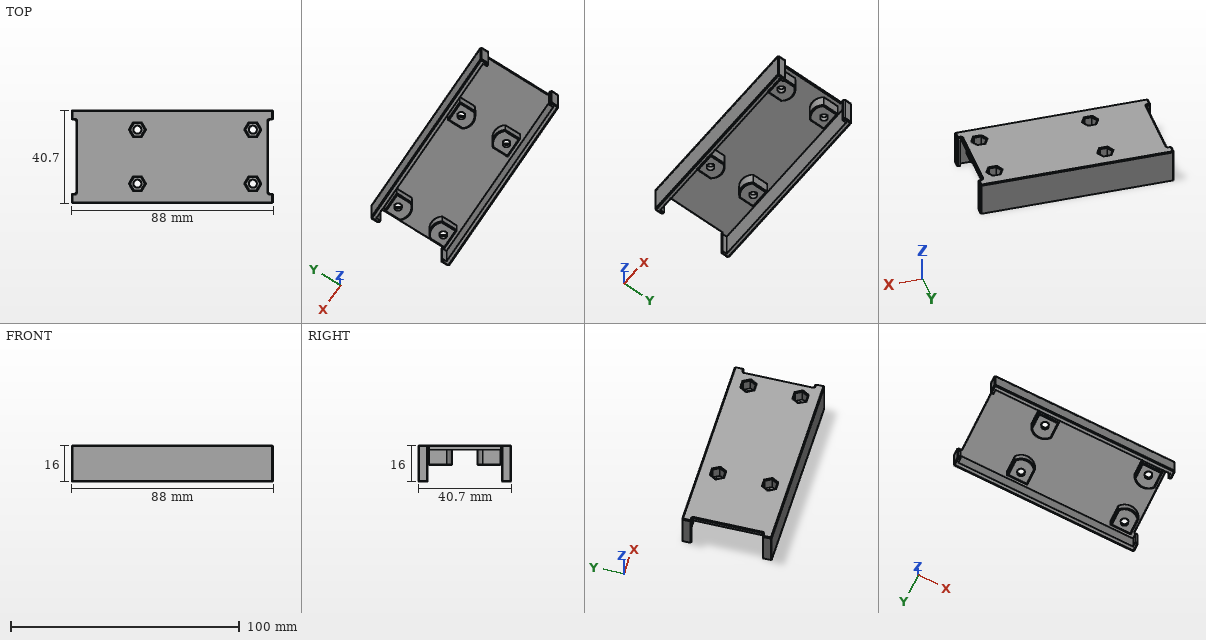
import cadquery as cq
import math

LENGTH = 88.0
WIDTH = 40.7
HEIGHT = 16.0
WALL = 4.2
PLATE = 2.0
CHAMFER = 0.48

LIP = 1.4
THIN_WALL = 2.0

END_SETBACK = 2.0

SCREW_X = (-15.2, 35.2)
SCREW_Y = 11.8
SCREW_DIAMETER = 3.4
NUT_FLATS = 5.5
NUT_FLOOR = 3.0

BOSS_RADIUS = 6.25
BOSS_LENGTH = 9.9
BOSS_DEPTH = 8.8
BOSS_WALL_GAP = 0.4

HALF_LENGTH = LENGTH / 2
HALF_WIDTH = WIDTH / 2
INNER_HALF = HALF_WIDTH - WALL
PLATE_HALF = HALF_LENGTH - END_SETBACK
HEX_CORNERS_PER_FLATS = 2 / math.sqrt(3)


def plan_quarter():
    """Outline of the +X +Y quarter, from the plate end to the outer wall face."""
    return [
        (PLATE_HALF, INNER_HALF - CHAMFER),
        (PLATE_HALF + CHAMFER, INNER_HALF),
        (HALF_LENGTH - CHAMFER, INNER_HALF),
        (HALF_LENGTH, INNER_HALF + CHAMFER),
        (HALF_LENGTH, HALF_WIDTH - CHAMFER),
        (HALF_LENGTH - CHAMFER, HALF_WIDTH),
    ]


def make_channel():
    """Plate and side walls with every outer edge chamfered."""
    quarter = plan_quarter()
    right_half = [(x, -y) for x, y in reversed(quarter)] + quarter
    left_half = [(-x, -y) for x, y in right_half]
    block = cq.Workplane("XY").polyline(right_half + left_half).close().extrude(HEIGHT)
    hollow = cq.Workplane("XY").box(
        LENGTH, 2 * INNER_HALF, HEIGHT - PLATE, centered=(True, True, False)
    )
    return block.cut(hollow).faces(">Z or <Z").edges().chamfer(CHAMFER)


def make_wall_recess():
    """Space that thins both walls between the end lips."""
    return cq.Workplane("XY").box(
        LENGTH - 2 * LIP, WIDTH - 2 * THIN_WALL, HEIGHT - PLATE, centered=(True, True, False)
    )


def make_boss(x, side):
    """Boss with flat ends and a flat beside the wall, rounded about the screw on the inside."""
    half_length = BOSS_LENGTH / 2
    wall_flat = side * (INNER_HALF - BOSS_WALL_GAP - SCREW_Y)
    arc_start = -side * math.sqrt(BOSS_RADIUS**2 - half_length**2)
    boss = (
        cq.Workplane("XY")
        .moveTo(half_length, wall_flat)
        .lineTo(half_length, arc_start)
        .threePointArc((0, -side * BOSS_RADIUS), (-half_length, arc_start))
        .lineTo(-half_length, wall_flat)
        .close()
        .extrude(BOSS_DEPTH - PLATE / 2)
        .faces("<Z")
        .edges()
        .chamfer(CHAMFER)
    )
    return boss.translate((x, side * SCREW_Y, HEIGHT - BOSS_DEPTH))


def make_nut_hole(x, y):
    """Screw hole through the boss with a chamfered hexagonal pocket on top."""
    corners = NUT_FLATS * HEX_CORNERS_PER_FLATS
    rim_corners = (NUT_FLATS + 2 * CHAMFER) * HEX_CORNERS_PER_FLATS
    screw = cq.Workplane("XY", origin=(x, y, 0)).circle(SCREW_DIAMETER / 2).extrude(HEIGHT)
    pocket = (
        cq.Workplane("XY", origin=(x, y, HEIGHT - BOSS_DEPTH + NUT_FLOOR))
        .polygon(6, corners)
        .extrude(BOSS_DEPTH - NUT_FLOOR)
    )
    rim = (
        cq.Workplane("XY", origin=(x, y, HEIGHT - CHAMFER))
        .polygon(6, corners)
        .workplane(offset=CHAMFER)
        .polygon(6, rim_corners)
        .loft(ruled=True)
    )
    return screw.union(pocket).union(rim)


result = make_channel().cut(make_wall_recess())
for screw_x in SCREW_X:
    for side in (-1, 1):
        result = result.union(make_boss(screw_x, side))
        result = result.cut(make_nut_hole(screw_x, side * SCREW_Y))